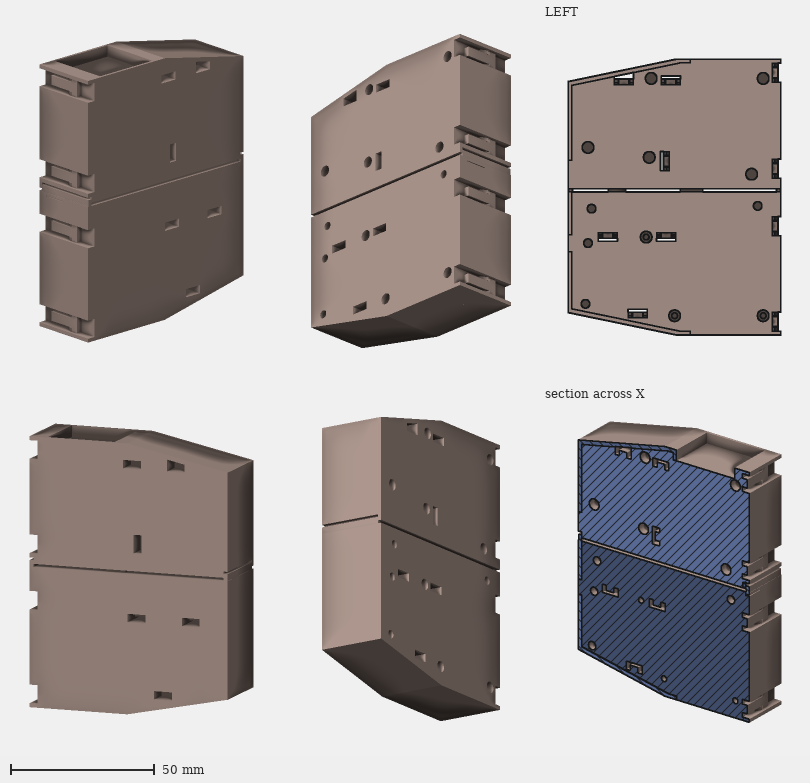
import cadquery as cq

WIDTH = 24.9
DEPTH = 74.0
HEIGHT = 96.0
SEAM_X = 12.3
LOWER_TOP = 49.8
UPPER_BOTTOM = 50.9
BACK_DROP = 7.8
SLOPE_START_Y = 36.5

WALL = 1.3
WALL_FRONT_Y = 31.5
UPPER_WALL_END_Z = 60.8
LOWER_WALL_GAP = (28.9, 34.9)

SLOT_WIDTH = 6.6
SLOT_DEPTH = 3.0
TALL_SLOT_DEPTH = 4.8
CLIP_THICKNESS = 2.0
CLIP_START_X = 5.1
STEM_WIDTH = 3.5
HEAD_START_X = 15.3
HEAD_LENGTH = 3.0
CLIP_GAP = 0.3
CATCH_GAP = 0.4
TOOTH_LENGTH = HEAD_START_X - CATCH_GAP - SEAM_X
TOOTH_WIDTH = (SLOT_WIDTH - STEM_WIDTH) / 2 - CLIP_GAP
TOOTH_STEP = 0.8

OPENS_UP = 0
OPENS_DOWN = 180
OPENS_FRONT = 90
OPENS_BACK = -90

UPPER_SLOTS = [
    (SLOT_DEPTH, 91.3, OPENS_FRONT, SLOT_DEPTH),
    (SLOT_DEPTH, 57.9, OPENS_FRONT, SLOT_DEPTH),
    (54.6, 87.1, OPENS_UP, TALL_SLOT_DEPTH),
    (38.3, 87.1, OPENS_UP, SLOT_DEPTH),
    (38.9, 60.5, OPENS_BACK, SLOT_DEPTH),
]
LOWER_SLOTS = [
    (SLOT_DEPTH, 37.9, OPENS_FRONT, SLOT_DEPTH),
    (SLOT_DEPTH, 4.7, OPENS_FRONT, SLOT_DEPTH),
    (60.2, 35.6, OPENS_DOWN, SLOT_DEPTH),
    (39.9, 35.6, OPENS_DOWN, SLOT_DEPTH),
    (49.8, 6.0, OPENS_UP, SLOT_DEPTH),
]

LARGE_HOLE = 4.0
SMALL_HOLE = 3.0
SCREW_HOLE = 2.0
COUNTERBORE_DEPTH = SEAM_X / 2
UPPER_HOLES = [(45.1, 89.3), (6.1, 89.3), (67.1, 65.3), (45.8, 61.8), (10.2, 56.0)]
LOWER_SCREW_HOLES = [(46.8, 34.1), (37.0, 6.7), (6.1, 6.7)]
LOWER_HOLES = [(65.9, 44.0), (8.1, 44.9), (67.1, 32.0), (68.0, 10.8)]

POCKET_SIDE_WALL = 1.0
POCKET_FRONT_Y = 6.5
POCKET_DEPTH = 4.1

TONGUE_TOP = 52.2
TONGUE_INSET = 0.1
TONGUE_BACKSIDE = 1.5
REBATE_TOP = 53.1

LEDGE_GAP = 0.3
LOWER_LEDGE_BOTTOM = 48.8
UPPER_LEDGE_BACK_Y = TONGUE_BACKSIDE + WALL
LOWER_SLIT_START_X = 3.6

SPACER_X = (SEAM_X + WIDTH) / 2
PEG_DIAMETER = 6.2
PEG_Y = 57.0
BLOCK_SIZE = 7.9
BLOCK_Y = 31.1


def box(x0, x1, y0, y1, z0, z1):
    """Box between two opposite corners."""
    return cq.Workplane("XY").box(x1 - x0, y1 - y0, z1 - z0, centered=False).translate((x0, y0, z0))


def drill(points, diameter, depth):
    """Cylinders along X, from the left face inwards."""
    return cq.Workplane("YZ").pushPoints(points).circle(diameter / 2).extrude(depth)


def slab(flat_z, sloped_z, x0, x1):
    """Side profile with a flat face at flat_z and the sloping face at sloped_z."""
    drop = BACK_DROP if sloped_z > flat_z else -BACK_DROP
    outline = [(0, flat_z), (0, sloped_z), (SLOPE_START_Y, sloped_z), (DEPTH, sloped_z - drop), (DEPTH, flat_z)]
    return cq.Workplane("YZ", origin=(x0, 0, 0)).polyline(outline).close().extrude(x1 - x0)


def inside(flat_z, sloped_z):
    """Profile inside the wrap-around wall, over the full width."""
    shift_z = -WALL if sloped_z > flat_z else WALL
    return slab(flat_z, sloped_z, 0, WIDTH).translate((0, -WALL, shift_z))


def wrap_wall(flat_z, sloped_z, z_ranges):
    """Wall that reaches over the left half, within the given height ranges."""
    shell = slab(flat_z, sloped_z, 0, SEAM_X).cut(inside(flat_z, sloped_z))
    zones = [box(0, SEAM_X, WALL_FRONT_Y, DEPTH, z0, z1) for z0, z1 in z_ranges]
    kept = zones[0]
    for zone in zones[1:]:
        kept = kept.union(zone)
    return shell.intersect(kept)


def place(shape, slot):
    """Move a shape from the slot frame (floor at Z = 0, opening up) to its slot."""
    y, z, turn, _ = slot
    return shape.rotate((0, 0, 0), (1, 0, 0), turn).translate((0, y, z))


def slot_cutter(slot):
    """Slot through both halves."""
    _, _, _, depth = slot
    return place(box(0, WIDTH, -SLOT_WIDTH / 2, SLOT_WIDTH / 2, 0, depth), slot)


def clip(slot):
    """T-shaped snap clip of a left half: a stem with a wider head."""
    head_width = SLOT_WIDTH - 2 * CLIP_GAP
    head_end = HEAD_START_X + HEAD_LENGTH
    stem = box(CLIP_START_X, head_end, -STEM_WIDTH / 2, STEM_WIDTH / 2, 0, CLIP_THICKNESS)
    head = box(HEAD_START_X, head_end, -head_width / 2, head_width / 2, 0, CLIP_THICKNESS)
    return place(stem.union(head), slot)


def teeth(slot):
    """Pair of ramped teeth of a right half, behind which the clip head catches."""
    ramp = [(0, 0), (0, TOOTH_STEP), (TOOTH_LENGTH, CLIP_THICKNESS), (TOOTH_LENGTH, 0)]
    tooth = cq.Workplane("XZ", origin=(SEAM_X, SLOT_WIDTH / 2, 0)).polyline(ramp).close().extrude(TOOTH_WIDTH)
    return place(tooth.union(tooth.mirror("XZ")), slot)


def fit_clips(left, right, slots, interior):
    """Cut the slots in both halves, then add clips to the left and teeth to the right."""
    for slot in slots:
        opening = slot_cutter(slot).intersect(interior)
        left = left.cut(opening).union(clip(slot))
        right = right.cut(opening).union(teeth(slot))
    return left, right


def upper_halves():
    """Left and right halves of the upper block, with the pocket in its top."""
    wall = wrap_wall(UPPER_BOTTOM, HEIGHT, [(UPPER_WALL_END_Z, HEIGHT)])
    left = slab(UPPER_BOTTOM, HEIGHT, 0, SEAM_X).cut(wall)
    right = slab(UPPER_BOTTOM, HEIGHT, SEAM_X, WIDTH).union(wall)

    pocket_floor_z = HEIGHT - POCKET_DEPTH
    pocket_back_end_y = WALL_FRONT_Y + WALL
    pocket_back = box(POCKET_SIDE_WALL, SEAM_X, WALL_FRONT_Y, pocket_back_end_y, pocket_floor_z, HEIGHT)
    left = left.cut(pocket_back)
    right = right.union(pocket_back)

    ledge_recess = box(WALL, SEAM_X, 0, UPPER_LEDGE_BACK_Y, UPPER_BOTTOM, REBATE_TOP)
    ledge = box(WALL, SEAM_X, 0, UPPER_LEDGE_BACK_Y, UPPER_BOTTOM, REBATE_TOP - LEDGE_GAP)
    left = left.cut(ledge_recess)
    right = right.union(ledge)

    pocket_end_x = WIDTH - POCKET_SIDE_WALL
    pocket = box(POCKET_SIDE_WALL, pocket_end_x, POCKET_FRONT_Y, WALL_FRONT_Y, pocket_floor_z, HEIGHT)
    front_rebate = box(WALL, WIDTH, 0, TONGUE_BACKSIDE, UPPER_BOTTOM, REBATE_TOP)
    back_rebate = box(WALL, WIDTH, DEPTH - TONGUE_BACKSIDE, DEPTH, UPPER_BOTTOM, REBATE_TOP)
    for cutter in (pocket, front_rebate, back_rebate):
        left = left.cut(cutter)
        right = right.cut(cutter)

    left = left.cut(drill(UPPER_HOLES, LARGE_HOLE, SEAM_X))
    return fit_clips(left, right, UPPER_SLOTS, inside(UPPER_BOTTOM, HEIGHT))


def lower_halves():
    """Left and right halves of the lower block, with tongues and spacers on the right one."""
    gap_bottom, gap_top = LOWER_WALL_GAP
    wall = wrap_wall(LOWER_TOP, 0, [(0, gap_bottom), (gap_top, LOWER_TOP)])
    ledge = box(WALL, SEAM_X, 0, TONGUE_BACKSIDE, LOWER_LEDGE_BOTTOM, LOWER_TOP)
    slit_bottom = LOWER_LEDGE_BOTTOM - LEDGE_GAP
    slit = box(LOWER_SLIT_START_X, SEAM_X, 0, TONGUE_BACKSIDE, slit_bottom, LOWER_LEDGE_BOTTOM)
    left = slab(LOWER_TOP, 0, 0, SEAM_X).cut(wall).cut(ledge).cut(slit)
    right = slab(LOWER_TOP, 0, SEAM_X, WIDTH).union(wall).union(ledge)

    front_tongue = box(WALL, WIDTH, TONGUE_INSET, TONGUE_BACKSIDE, LOWER_TOP, TONGUE_TOP)
    back_tongue = box(WALL, WIDTH, DEPTH - TONGUE_BACKSIDE, DEPTH - TONGUE_INSET, LOWER_TOP, TONGUE_TOP)

    gap = UPPER_BOTTOM - LOWER_TOP
    spacers = cq.Workplane("XY", origin=(0, 0, LOWER_TOP))
    peg = spacers.center(SPACER_X, PEG_Y).circle(PEG_DIAMETER / 2).extrude(gap)
    block = spacers.center(SPACER_X, BLOCK_Y).rect(BLOCK_SIZE, BLOCK_SIZE).extrude(gap)
    for addition in (front_tongue, back_tongue, peg, block):
        right = right.union(addition)

    left = left.cut(drill(LOWER_HOLES, SMALL_HOLE, SEAM_X))
    left = left.cut(drill(LOWER_SCREW_HOLES, LARGE_HOLE, COUNTERBORE_DEPTH))
    left = left.cut(drill(LOWER_SCREW_HOLES, SCREW_HOLE, SEAM_X))
    return fit_clips(left, right, LOWER_SLOTS, inside(LOWER_TOP, 0))


upper_left, upper_right = upper_halves()
lower_left, lower_right = lower_halves()

bodies = [upper_left, upper_right, lower_left, lower_right]
result = cq.Compound.makeCompound([body.solids().val() for body in bodies])